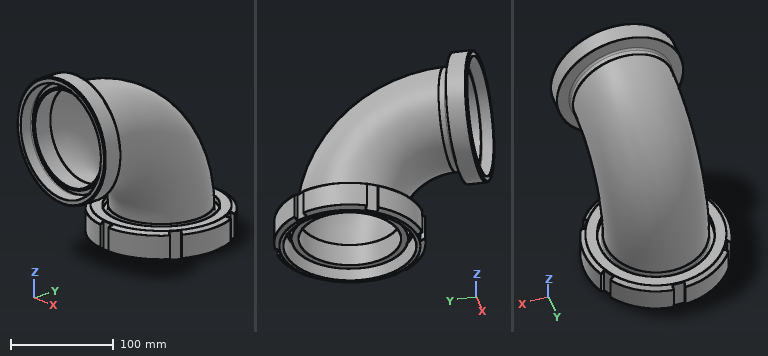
import cadquery as cq
import math

pipe_radius = 104.0 / 2
bore_radius = 100 / 2
bend_radius = 100.0
bend_start_z = 31.3
port_axis_z = bend_start_z + bend_radius

nut_radius = 148.0 / 2
nut_height = 30.8
nut_chamfer_width = 5.1
nut_chamfer_height = 3.0
nut_bore_radius = 115.0 / 2
nut_thread_radius = 130.0 / 2
nut_lip_thickness = 6.1
slot_count = 6
slot_width = 12.0
slot_floor_radius = 69.5

male_length = 30.5
flange_radius = 130.3 / 2
flange_width = 20.2
flange_chamfer = 1.2
hub_radius = 53.5
hub_length = 8.0
fillet_start = 5.7
seat_mouth_radius = 59.2
seat_radius = 113.8 / 2
seat_depth = 10.6
groove_depth = 2.9

collar_radius = 124.2 / 2
collar_thickness = 5.7
liner_fillet = 1.2


def make_elbow():
    profile = cq.Workplane("XY", origin=(0, 0, bend_start_z)).circle(pipe_radius).circle(bore_radius)
    axis_start = (0, -bend_radius)
    axis_end = (1, -bend_radius)
    return profile.revolve(90, axis_start, axis_end)


def make_male_end():
    """Revolve a (radius, length) section about the port axis."""
    lip_length = male_length - seat_depth
    groove_length = lip_length - groove_depth
    section = (
        cq.Workplane("XY")
        .moveTo(bore_radius, 0)
        .lineTo(pipe_radius, 0)
        .lineTo(pipe_radius, fillet_start)
        .tangentArcPoint((hub_radius, hub_length), relative=False)
        .lineTo(flange_radius, male_length - flange_width)
        .lineTo(flange_radius, male_length - flange_chamfer)
        .lineTo(flange_radius - flange_chamfer, male_length)
        .lineTo(seat_mouth_radius, male_length)
        .lineTo(seat_radius, lip_length)
        .lineTo(seat_radius, groove_length)
        .lineTo(pipe_radius, groove_length)
        .lineTo(pipe_radius, lip_length)
        .lineTo(bore_radius, lip_length)
        .close()
    )
    male_end = section.revolve(360, (0, 0), (0, 1))
    return male_end.rotate((0, 0, 0), (0, 0, 1), 180).translate((0, -bend_radius, port_axis_z))


def make_liner():
    """Revolve a (radius, Z) section; its cone matches the seat of the male end."""
    shoulder_z = nut_height - nut_lip_thickness
    collar_base_z = shoulder_z - collar_thickness
    spigot_end_z = collar_base_z - seat_depth
    fillet_mid_offset = liner_fillet * (1 - math.sqrt(0.5))
    section = (
        cq.Workplane("XZ")
        .moveTo(bore_radius, spigot_end_z)
        .lineTo(seat_radius, spigot_end_z)
        .lineTo(seat_mouth_radius, collar_base_z)
        .lineTo(collar_radius, collar_base_z)
        .lineTo(collar_radius, shoulder_z)
        .lineTo(pipe_radius + liner_fillet, shoulder_z)
        .threePointArc(
            (pipe_radius + fillet_mid_offset, shoulder_z + fillet_mid_offset),
            (pipe_radius, shoulder_z + liner_fillet),
        )
        .lineTo(pipe_radius, bend_start_z)
        .lineTo(bore_radius, bend_start_z)
        .close()
    )
    return section.revolve(360, (0, 0), (0, 1))


def make_nut():
    face_radius = nut_radius - nut_chamfer_width
    lip_z = nut_height - nut_lip_thickness
    section = [
        (nut_thread_radius, 0),
        (face_radius, 0),
        (nut_radius, nut_chamfer_height),
        (nut_radius, nut_height - nut_chamfer_height),
        (face_radius, nut_height),
        (nut_bore_radius, nut_height),
        (nut_bore_radius, lip_z),
        (nut_thread_radius, lip_z),
    ]
    nut = cq.Workplane("XZ").polyline(section).close().revolve(360, (0, 0), (0, 1))
    cutter_depth = 2 * (nut_radius - slot_floor_radius)
    cutter = (
        cq.Workplane("XY")
        .box(slot_width, cutter_depth, nut_height, centered=(True, False, False))
        .translate((0, slot_floor_radius, 0))
    )
    for index in range(slot_count):
        nut = nut.cut(cutter.rotate((0, 0, 0), (0, 0, 1), index * 360 / slot_count))
    return nut


elbow = make_elbow()
male_end = make_male_end()
liner = make_liner()
nut = make_nut()

result = cq.Compound.makeCompound([elbow.val(), male_end.val(), liner.val(), nut.val()])